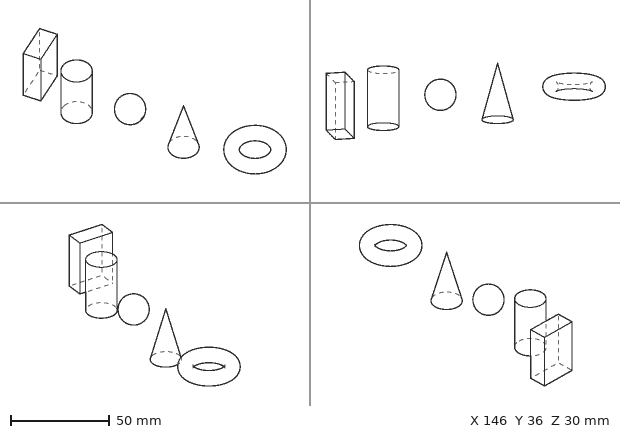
import cadquery as cq

total_length = 146.0
height = 30.0
block_width = 10.0
block_depth = 20.0
round_diameter = 16.0
cone_x = 90.0
ring_radius = 12.0
tube_diameter = 8.0

pitch = cone_x / 3
cylinder_x = pitch
sphere_x = 2 * pitch
round_radius = round_diameter / 2
tube_radius = tube_diameter / 2
torus_x = total_length - ring_radius - tube_radius
mid_height = height / 2


def make_block():
    """Rectangular block with its front left bottom corner at the origin."""
    return cq.Workplane("XY").box(block_width, block_depth, height, centered=False)


def make_cylinder():
    """Upright cylinder standing on Z = 0."""
    return cq.Workplane("XY").center(cylinder_x, 0).circle(round_radius).extrude(height)


def make_sphere():
    """Ball floating at half the row height."""
    return cq.Workplane("XY").sphere(round_radius).translate((sphere_x, 0, mid_height))


def make_cone():
    """Upright cone with a sharp tip, standing on Z = 0."""
    cone = cq.Solid.makeCone(round_radius, 0, height, pnt=cq.Vector(cone_x, 0, 0))
    return cq.Workplane("XY").add(cone)


def make_torus():
    """Horizontal ring at half the row height."""
    torus = cq.Solid.makeTorus(ring_radius, tube_radius, pnt=cq.Vector(torus_x, 0, mid_height))
    return cq.Workplane("XY").add(torus)


block = make_block()
cylinder = make_cylinder()
sphere = make_sphere()
cone = make_cone()
torus = make_torus()

result = cq.Compound.makeCompound(
    [block.val(), cylinder.val(), sphere.val(), cone.val(), torus.val()]
)